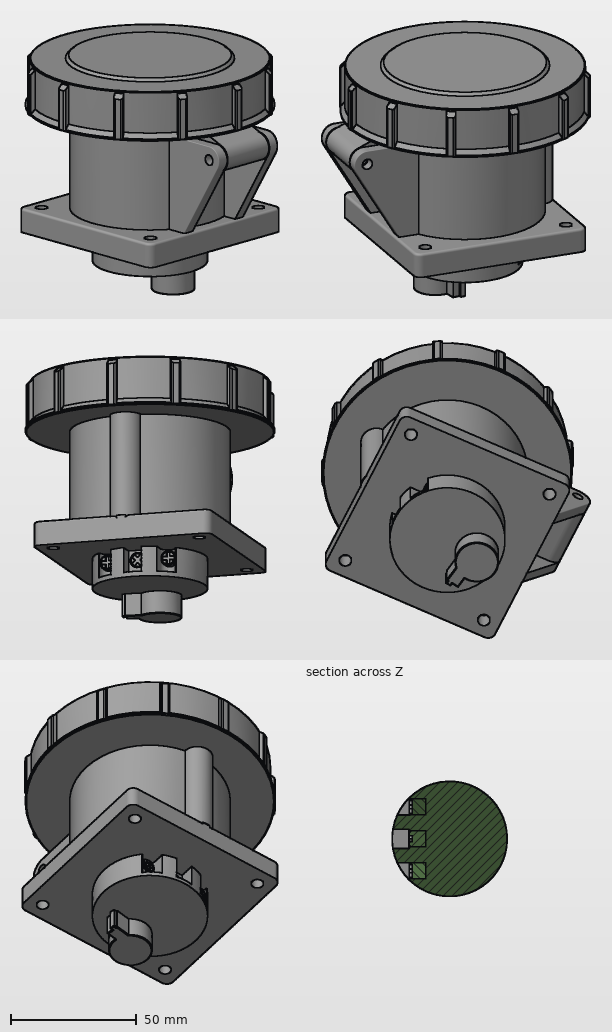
import cadquery as cq
import math


FLANGE_SIDE = 74.2
FLANGE_TOP = 9.9
FLANGE_CORNER_RADIUS = 3.2
FLANGE_EDGE_ROUND = 1.0
MOUNT_HOLE_OFFSET = 30.5
MOUNT_HOLE_DIAMETER = 4.8
BARREL_RADIUS = 31.9
BARREL_TOP = 51.8
COLUMN_RADIUS = 6.2
COLUMN_REACH = 37.4

HINGE_X = 49.5
HINGE_Z = 43.2
HINGE_RADIUS = 5.6
HINGE_HOLE_DIAMETER = 4.2
LUG_OUTER_Y = 16.6
LUG_INNER_Y = 12.0
LUG_FOOT_X = 35.7
LUG_EDGE_ROUND = 0.3
KNUCKLE_HALF_WIDTH = 11.5
KNUCKLE_INNER_X = 39.4
KNUCKLE_ROOT_X = 42.7

LID_RADIUS = 47.9
LID_TOP = 71.7
LID_EDGE_CHAMFER = 0.4
RIM_RADIUS = 49.6
RIM_TOP = 52.7
RIM_SLOPE_TOP = 54.7
RIM_BOTTOM_CHAMFER = 0.4
PANEL_RADIUS = 33.6
PANEL_HEIGHT = 1.3
PANEL_CHAMFER = 1.3
RIB_COUNT = 12
RIB_WIDTH = 3.8
RIB_RADIUS = 50.0
RIB_CHAMFER_WIDTH = 0.7
RIB_CHAMFER_DEPTH = 0.4
RIB_BOTTOM = 52.2
RIB_TOP = 70.7
RIB_SLOPE_HEIGHT = 1.9

INSERT_RADIUS = 22.9
INSERT_DEPTH = 12.1
POCKET_DEPTH = 10.1
POCKET_FLOOR_X = -16.2
CENTER_POCKET_WIDTH = 7.5
SIDE_POCKET_Y = 12.7
SIDE_GROOVE_RADIUS = 3.2

SPIGOT_X = 12.9
SPIGOT_RADIUS = 8.6
SPIGOT_BOTTOM = -21.2
SPIGOT_CHAMFER = 0.3
KEY_TILT = 9.0
KEY_HALF_WIDTH = 5.5
KEY_LENGTH = 13.2
TONGUE_INSET = 0.5
TONGUE_THICKNESS = 2.1
TONGUE_LENGTH = 14.5

SCREW_RADIUS = 3.0
SCREW_Z = -3.9
SCREW_FACE_X = -16.0
SCREW_LENGTH = 6.3
SCREW_EDGE_CHAMFER = 0.4
CROSS_LENGTH = 5.0
CROSS_WIDTH = 1.5
CROSS_DEPTH = 1.0


def cylinder(radius, bottom, top, x=0, y=0):
    return cq.Workplane("XY").workplane(offset=bottom).center(x, y).circle(radius).extrude(top - bottom)


def box(x_range, y_range, z_range):
    (x0, x1), (y0, y1), (z0, z1) = x_range, y_range, z_range
    return cq.Workplane("XY").box(x1 - x0, y1 - y0, z1 - z0, centered=False).translate((x0, y0, z0))


def plate_across_y(sketch, y0, y1):
    """Extrude an outline drawn in the XZ plane from y0 to y1."""
    return sketch.extrude(y1 - y0).translate((0, y1, 0))


def hinge_tangent(x, z, side):
    """Touching point on the hinge circle of a line from (x, z); side is +1 or -1."""
    distance = math.hypot(x - HINGE_X, z - HINGE_Z)
    bearing = math.atan2(z - HINGE_Z, x - HINGE_X)
    angle = bearing + side * math.acos(HINGE_RADIUS / distance)
    return hinge_point(angle)


def hinge_point(angle):
    return HINGE_X + HINGE_RADIUS * math.cos(angle), HINGE_Z + HINGE_RADIUS * math.sin(angle)


def make_hinge_hole():
    hole = cq.Workplane("XZ").center(HINGE_X, HINGE_Z).circle(HINGE_HOLE_DIAMETER / 2)
    return plate_across_y(hole, -LUG_OUTER_Y, LUG_OUTER_Y)


def make_lug():
    """Lug on the +Y side, reaching from inside the barrel out to the hinge."""
    lug_top = HINGE_Z + HINGE_RADIUS
    outline = (
        cq.Workplane("XZ")
        .moveTo(0, FLANGE_TOP)
        .lineTo(0, lug_top)
        .lineTo(HINGE_X, lug_top)
        .threePointArc(hinge_point(0), hinge_tangent(LUG_FOOT_X, FLANGE_TOP, 1))
        .lineTo(LUG_FOOT_X, FLANGE_TOP)
        .close()
    )
    lug = plate_across_y(outline, LUG_INNER_Y, LUG_OUTER_Y)
    return lug.faces(">Y").edges(">Z or >X").fillet(LUG_EDGE_ROUND)


def make_housing():
    flange = cq.Workplane("XY").rect(FLANGE_SIDE, FLANGE_SIDE).extrude(FLANGE_TOP)
    flange = flange.edges("|Z").fillet(FLANGE_CORNER_RADIUS)
    flange = flange.faces(">Z").edges().fillet(FLANGE_EDGE_ROUND)

    column_x = COLUMN_RADIUS - COLUMN_REACH
    column = cylinder(COLUMN_RADIUS, FLANGE_TOP, BARREL_TOP, column_x)
    column_foot = cylinder(COLUMN_RADIUS, FLANGE_TOP - FLANGE_EDGE_ROUND, FLANGE_TOP, column_x)
    column_foot = column_foot.intersect(
        cq.Workplane("XY").rect(FLANGE_SIDE, FLANGE_SIDE).extrude(FLANGE_TOP)
    )

    lug = make_lug()
    housing = flange.union(cylinder(BARREL_RADIUS, 0, BARREL_TOP))
    housing = housing.union(column_foot).union(column)
    housing = housing.union(lug).union(lug.mirror("XZ"))
    mount_holes = (
        cq.Workplane("XY")
        .rect(2 * MOUNT_HOLE_OFFSET, 2 * MOUNT_HOLE_OFFSET, forConstruction=True)
        .vertices()
        .circle(MOUNT_HOLE_DIAMETER / 2)
        .extrude(FLANGE_TOP)
    )
    return housing.cut(mount_holes).cut(make_hinge_hole())


def make_rib():
    """Grip rib on the +X side of the lid, tapered at its top."""
    rib = box((PANEL_RADIUS, RIB_RADIUS), (-RIB_WIDTH / 2, RIB_WIDTH / 2), (RIB_BOTTOM, RIB_TOP))
    for side in (1, -1):
        tip_y = side * RIB_WIDTH / 2
        corner = [
            (RIB_RADIUS, tip_y),
            (RIB_RADIUS, tip_y - side * RIB_CHAMFER_WIDTH),
            (RIB_RADIUS - RIB_CHAMFER_DEPTH, tip_y),
        ]
        rib = rib.cut(cq.Workplane("XY").polyline(corner).close().extrude(RIB_TOP))
    taper = (
        cq.Workplane("XZ")
        .moveTo(LID_RADIUS, RIB_TOP)
        .lineTo(RIB_RADIUS, RIB_TOP)
        .lineTo(RIB_RADIUS, RIB_TOP - RIB_SLOPE_HEIGHT)
        .close()
    )
    return rib.cut(plate_across_y(taper, -RIB_WIDTH, RIB_WIDTH))


def make_knuckle():
    """Hinge knuckle hanging from the lid between the two lugs."""
    outline = (
        cq.Workplane("XZ")
        .moveTo(KNUCKLE_INNER_X, BARREL_TOP)
        .lineTo(KNUCKLE_ROOT_X, BARREL_TOP)
        .lineTo(*hinge_tangent(KNUCKLE_ROOT_X, BARREL_TOP, -1))
        .threePointArc(hinge_point(0), hinge_point(-math.pi / 2))
        .lineTo(KNUCKLE_INNER_X, HINGE_Z - HINGE_RADIUS)
        .close()
    )
    return plate_across_y(outline, -KNUCKLE_HALF_WIDTH, KNUCKLE_HALF_WIDTH)


def make_lid():
    lid = (
        cq.Workplane("XZ")
        .moveTo(0, BARREL_TOP)
        .lineTo(RIM_RADIUS - RIM_BOTTOM_CHAMFER, BARREL_TOP)
        .lineTo(RIM_RADIUS, BARREL_TOP + RIM_BOTTOM_CHAMFER)
        .lineTo(RIM_RADIUS, RIM_TOP)
        .lineTo(LID_RADIUS, RIM_SLOPE_TOP)
        .lineTo(LID_RADIUS, LID_TOP - LID_EDGE_CHAMFER)
        .lineTo(LID_RADIUS - LID_EDGE_CHAMFER, LID_TOP)
        .lineTo(PANEL_RADIUS, LID_TOP)
        .lineTo(PANEL_RADIUS - PANEL_CHAMFER, LID_TOP + PANEL_HEIGHT)
        .lineTo(0, LID_TOP + PANEL_HEIGHT)
        .close()
        .revolve(360, (0, 0), (0, 1))
    )
    rib = make_rib()
    for i in range(RIB_COUNT):
        lid = lid.union(rib.rotate((0, 0, 0), (0, 0, 1), i * 360 / RIB_COUNT))
    return lid.union(make_knuckle()).cut(make_hinge_hole())


def make_spigot():
    """Round spigot with a tilted key that ends in a thin tongue."""
    height = (SPIGOT_BOTTOM, -INSERT_DEPTH)
    key = box((-KEY_HALF_WIDTH, 0), (0, KEY_LENGTH), height)
    tongue_x = TONGUE_INSET - KEY_HALF_WIDTH
    tongue = box((tongue_x, tongue_x + TONGUE_THICKNESS), (0, TONGUE_LENGTH), height)
    key = key.union(tongue).rotate((0, 0, 0), (0, 0, 1), KEY_TILT)
    spigot = cylinder(SPIGOT_RADIUS, *height, SPIGOT_X).union(key.translate((SPIGOT_X, 0, 0)))
    return spigot.faces("<Z").edges().chamfer(SPIGOT_CHAMFER)


def make_side_pocket():
    """Pocket on the +Y side: an open step with a round groove sunk into its floor."""
    inner_wall_y = SIDE_POCKET_Y - SIDE_GROOVE_RADIUS
    step = box((-INSERT_RADIUS, POCKET_FLOOR_X), (inner_wall_y, INSERT_RADIUS), (-POCKET_DEPTH, 0))
    groove = cylinder(SIDE_GROOVE_RADIUS, -POCKET_DEPTH, 0, POCKET_FLOOR_X, SIDE_POCKET_Y)
    return step.union(groove)


def make_insert(screw_seats):
    half_width = CENTER_POCKET_WIDTH / 2
    center_pocket = box((-INSERT_RADIUS, POCKET_FLOOR_X), (-half_width, half_width), (-POCKET_DEPTH, 0))
    side_pocket = make_side_pocket()
    insert = cylinder(INSERT_RADIUS, -INSERT_DEPTH, 0)
    insert = insert.cut(center_pocket).cut(side_pocket).cut(side_pocket.mirror("XZ"))
    insert = insert.union(make_spigot())
    for seat in screw_seats:
        insert = insert.cut(seat)
    return insert


def make_screw_blank(y):
    """Plain cylinder along X that fills the seat of the screw at y."""
    blank = cq.Workplane("YZ").circle(SCREW_RADIUS).extrude(SCREW_LENGTH)
    return blank.translate((SCREW_FACE_X, y, SCREW_Z))


def make_screw(y, cross_angle):
    screw = make_screw_blank(y).faces("<X").edges().chamfer(SCREW_EDGE_CHAMFER)
    bar = cq.Workplane("YZ").rect(CROSS_LENGTH, CROSS_WIDTH).extrude(CROSS_DEPTH)
    for angle in (cross_angle, cross_angle + 90):
        turned_bar = bar.rotate((0, 0, 0), (1, 0, 0), angle)
        screw = screw.cut(turned_bar.translate((SCREW_FACE_X, y, SCREW_Z)))
    return screw


SCREWS = [(-SIDE_POCKET_Y, 0), (0, 45), (SIDE_POCKET_Y, 0)]

housing = make_housing()
lid = make_lid()
insert = make_insert([make_screw_blank(y) for y, _ in SCREWS])
screws = [make_screw(y, cross_angle) for y, cross_angle in SCREWS]

result = cq.Compound.makeCompound(
    [housing.val(), lid.val(), insert.val(), *[screw.val() for screw in screws]]
)